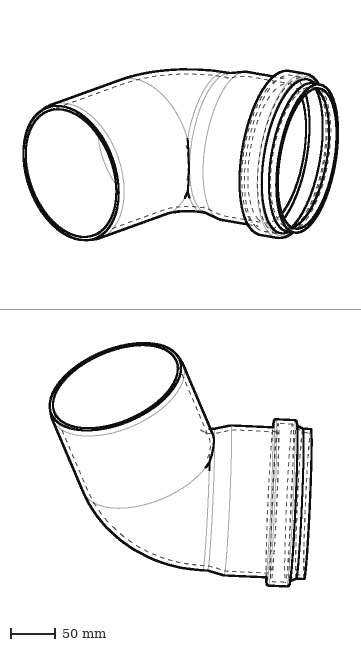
import cadquery as cq
import math

bend_angle = 67.5
bend_radius = 73.5
pipe_radius = 160.8 / 2
bore_radius = 149.8 / 2
spigot_length = 111.8
tip_chamfer_length = 7.0
tip_chamfer_depth = 1.5

socket_radius = 170.2 / 2
socket_bore_radius = 160.2 / 2
bead_radius = 188.7 / 2
bead_groove_radius = 179.3 / 2
lip_radius = 170.2 / 2
lip_bore_radius = 161 / 2
shoulder_radius = 88.5
bead_round = 2.0
bead_front_round = 3.0
bead_root_fillet = 1.8

neck_end = 5.5
flare_end = 24.3
bore_flare_end = 25.5
bead_start = 73.0
bead_end = 98.8
lip_start = 106.0
socket_length = 115.2
bead_wall = bead_radius - bead_groove_radius


def turned(points):
    """Revolve a (radius, station) outline about the Y axis."""
    return cq.Workplane("XY").polyline(points).close().revolve(360, (0, 0), (0, 1))


def bend(radius):
    """Sweep a round section about the bend axis, keeping only its part short of that axis."""
    half_chord = math.sqrt(radius**2 - bend_radius**2)
    section = (
        cq.Workplane("XZ", origin=(0, spigot_length, 0))
        .moveTo(bend_radius, -half_chord)
        .threePointArc((-radius, 0), (bend_radius, half_chord))
        .close()
    )
    return section.revolve(bend_angle, (bend_radius, 3), (bend_radius, 0))


def at_bend_end(body):
    """Carry a body from the start of the bend round to its end."""
    axis_base = (bend_radius, spigot_length, 0)
    axis_top = (bend_radius, spigot_length, 1)
    return body.translate((0, spigot_length, 0)).rotate(axis_base, axis_top, -bend_angle)


spigot = turned([
    (0, 0),
    (pipe_radius - tip_chamfer_depth, 0),
    (pipe_radius, tip_chamfer_length),
    (pipe_radius, spigot_length),
    (0, spigot_length),
])
spigot_bore = cq.Workplane("XZ").circle(bore_radius).extrude(-spigot_length)

arc_inset = 1 - math.sqrt(0.5)
round_mid = bead_round * arc_inset
front_mid = bead_front_round * arc_inset
root_mid = bead_root_fillet * arc_inset
socket = (
    cq.Workplane("XY")
    .moveTo(0, 0)
    .lineTo(pipe_radius, 0)
    .lineTo(pipe_radius, neck_end)
    .lineTo(socket_radius, flare_end)
    .lineTo(socket_radius, bead_start - bead_root_fillet)
    .threePointArc(
        (socket_radius + root_mid, bead_start - root_mid),
        (socket_radius + bead_root_fillet, bead_start),
    )
    .lineTo(bead_radius - bead_round, bead_start)
    .threePointArc(
        (bead_radius - round_mid, bead_start + round_mid),
        (bead_radius, bead_start + bead_round),
    )
    .lineTo(bead_radius, bead_end - bead_front_round)
    .threePointArc(
        (bead_radius - front_mid, bead_end - front_mid),
        (bead_radius - bead_front_round, bead_end),
    )
    .lineTo(shoulder_radius, bead_end)
    .lineTo(lip_radius, lip_start)
    .lineTo(lip_radius, socket_length)
    .lineTo(0, socket_length)
    .close()
    .revolve(360, (0, 0), (0, 1))
)

socket_bore = turned([
    (0, 0),
    (bore_radius, 0),
    (bore_radius, neck_end),
    (socket_bore_radius, bore_flare_end),
    (socket_bore_radius, bead_start + bead_wall),
    (bead_groove_radius, bead_start + bead_wall),
    (bead_groove_radius, bead_end - bead_wall),
    (lip_bore_radius, lip_start),
    (lip_bore_radius, socket_length),
    (0, socket_length),
])

outside = spigot.union(bend(pipe_radius)).union(at_bend_end(socket))
result = outside.cut(spigot_bore).cut(bend(bore_radius)).cut(at_bend_end(socket_bore))